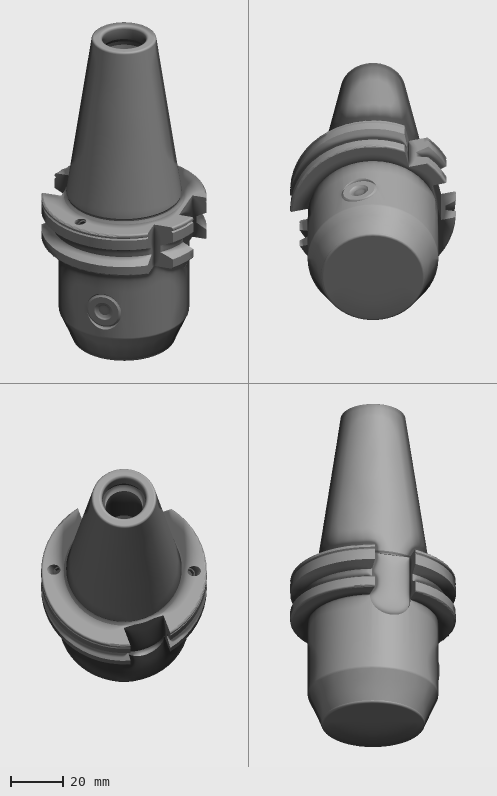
import cadquery as cq
import math

total_length = 131.4

body_radius = 25.1
body_top = 43.9
body_neck_radius = 24.6
body_neck_height = 0.7
nose_radius = 20.0
nose_fillet = 0.9
nose_cone_top = 12.7
nose_blend = 0.4

flange_radius = 31.8
flange_top = 62.0
flange_fillet = 0.8
groove_floor_radius = 27.9
groove_center = 51.8
groove_floor_width = 2.9
groove_flank_angle = 30.0
ring_mark_height = 60.2
ring_mark_size = 0.5

taper_ratio = 7 / 24
taper_bottom = 63.9
taper_radius = 22.2
taper_end_fillet = 0.8
neck_radius = 21.8
neck_cone_radius = 23.1
neck_cone_height = 0.7

bore_mouth_radius = 9.6
bore_radius = 8.4
bore_depth = 5.5
relief_radius = 9.2
relief_start = 7.0
relief_end = 8.4
thread_radius = 7.1
thread_start = 9.6
thread_depth = 32.8
drill_point_angle = 118.0

slot_width = 16.2
slot_bottom = 35.5
slot_floor_left = 22.7
slot_floor_right = 25.0
notch_x = 18.3
notch_y = 18.4

coolant_radius = 2.1
coolant_circle_radius = 27.0
coolant_angle = 70.0
coolant_tilt = 35.0
coolant_depth = 2.4
plug_socket_width = 2.9
plug_socket_depth = 1.3

screw_height = 24.0
countersink_radius = 7.8
countersink_depth = 0.9
screw_rim_radius = 7.0
screw_face_radius = 6.2
screw_face_depth = 0.3
socket_mouth_radius = 3.7
socket_step_radius = 3.2
socket_step_depth = 0.4
socket_floor_radius = 2.1
socket_depth = 0.9


def turned_blank():
    """Solid of revolution: nose, body, grooved flange and steep taper."""
    nose_slope = math.atan2(body_radius - nose_radius, nose_cone_top - nose_fillet)
    blend_drop = nose_blend * math.cos(nose_slope)
    blend_inset = nose_blend * math.sin(nose_slope)
    flank_height = (flange_radius - groove_floor_radius) * math.tan(math.radians(groove_flank_angle))
    floor_bottom = groove_center - groove_floor_width / 2
    floor_top = groove_center + groove_floor_width / 2
    taper_end_radius = taper_radius - (total_length - taper_bottom) * taper_ratio / 2
    rounded_radius = flange_radius - flange_fillet
    outline = (
        cq.Workplane("XZ")
        .lineTo(nose_radius - nose_fillet, 0)
        .tangentArcPoint((nose_radius, nose_fillet), relative=False)
        .lineTo(body_radius - blend_inset, nose_cone_top - blend_drop)
        .tangentArcPoint((body_radius, nose_cone_top + nose_blend), relative=False)
        .lineTo(body_radius, body_top - body_neck_height)
        .lineTo(body_neck_radius, body_top)
        .lineTo(rounded_radius, body_top)
        .tangentArcPoint((flange_radius, body_top + flange_fillet), relative=False)
        .lineTo(flange_radius, floor_bottom - flank_height)
        .lineTo(groove_floor_radius, floor_bottom)
        .lineTo(groove_floor_radius, floor_top)
        .lineTo(flange_radius, floor_top + flank_height)
        .lineTo(flange_radius, ring_mark_height - ring_mark_size)
        .lineTo(flange_radius - ring_mark_size, ring_mark_height)
        .lineTo(flange_radius, ring_mark_height + ring_mark_size)
        .lineTo(flange_radius, flange_top - flange_fillet)
        .tangentArcPoint((rounded_radius, flange_top), relative=False)
        .lineTo(neck_cone_radius, flange_top)
        .lineTo(neck_radius, flange_top + neck_cone_height)
        .lineTo(neck_radius, taper_bottom - neck_cone_height)
        .lineTo(taper_radius, taper_bottom)
        .lineTo(taper_end_radius + taper_end_fillet * taper_ratio / 2, total_length - taper_end_fillet)
        .tangentArcPoint((taper_end_radius - taper_end_fillet, total_length), relative=False)
        .lineTo(0, total_length)
        .close()
    )
    return outline.revolve(360, (0, 0), (0, 1))


def end_bore():
    """Round-lipped pilot bore with a relief, then the thread hole closed by a drill cone."""
    lip = bore_mouth_radius - bore_radius
    thread_end = total_length - thread_depth
    tip = thread_end - thread_radius / math.tan(math.radians(drill_point_angle / 2))
    outline = (
        cq.Workplane("XZ")
        .moveTo(0, total_length)
        .lineTo(bore_mouth_radius, total_length)
        .radiusArc((bore_radius, total_length - lip), -lip)
        .lineTo(bore_radius, total_length - bore_depth)
        .lineTo(relief_radius, total_length - relief_start)
        .lineTo(relief_radius, total_length - relief_end)
        .lineTo(thread_radius, total_length - thread_start)
        .lineTo(thread_radius, thread_end)
        .lineTo(0, tip)
        .close()
    )
    return outline.revolve(360, (0, 0), (0, 1))


def drive_slot(side, floor_distance):
    """Round-ended slot through the flange on the -X (side = -1) or +X (side = 1) face."""
    arc_center = slot_bottom + slot_width / 2
    outline = (
        cq.Workplane("YZ", origin=(side * floor_distance, 0, 0))
        .moveTo(-slot_width / 2, flange_top)
        .lineTo(-slot_width / 2, arc_center)
        .threePointArc((0, slot_bottom), (slot_width / 2, arc_center))
        .lineTo(slot_width / 2, flange_top)
        .close()
    )
    return outline.extrude(side * flange_radius)


def orientation_notch():
    """Square corner removed from the flange at +X, -Y."""
    block = cq.Workplane("XY").box(flange_radius, flange_radius, flange_top - body_top, centered=False)
    return block.translate((notch_x, -notch_y - flange_radius, body_top))


def coolant_hole(angle):
    """Plugged hole in the flange face, leaning inward as it goes down, with a hexagon socket."""
    tilt = math.radians(coolant_tilt)
    turn = math.radians(angle)
    outward = cq.Vector(math.cos(turn), math.sin(turn), 0)
    upward = outward * math.sin(tilt) + cq.Vector(0, 0, math.cos(tilt))
    mouth = outward * coolant_circle_radius + cq.Vector(0, 0, flange_top)
    plug_face = cq.Workplane(cq.Plane(origin=mouth - upward * coolant_depth, normal=upward))
    hole = plug_face.circle(coolant_radius).extrude(coolant_depth + 2 * coolant_radius)
    socket_corners = plug_socket_width / math.cos(math.radians(30))
    return hole.union(plug_face.polygon(6, socket_corners).extrude(-plug_socket_depth))


def screw_cone(start_radius, end_radius, start_depth, end_depth):
    """Truncated cone on the clamping screw's axis between two depths below the cylinder's front line."""
    start = cq.Vector(0, start_depth - body_radius, screw_height)
    cone = cq.Solid.makeCone(start_radius, end_radius, end_depth - start_depth, start, cq.Vector(0, 1, 0))
    return cq.Workplane(cone)


def add_clamping_screw(body):
    """Countersink the body, then fill it with the bevelled screw head and its tapered socket."""
    socket_step = screw_face_depth + socket_step_depth
    socket_floor = screw_face_depth + socket_depth
    body = body.cut(screw_cone(countersink_radius, screw_rim_radius, 0, countersink_depth))
    body = body.union(screw_cone(screw_face_radius, screw_rim_radius, screw_face_depth, countersink_depth))
    body = body.cut(screw_cone(socket_mouth_radius, socket_step_radius, screw_face_depth, socket_step))
    return body.cut(screw_cone(socket_step_radius, socket_floor_radius, socket_step, socket_floor))


result = turned_blank().cut(end_bore())
result = result.cut(drive_slot(-1, slot_floor_left)).cut(drive_slot(1, slot_floor_right))
result = result.cut(orientation_notch())
for hole_angle in (coolant_angle, coolant_angle + 180):
    result = result.cut(coolant_hole(hole_angle))
result = add_clamping_screw(result)